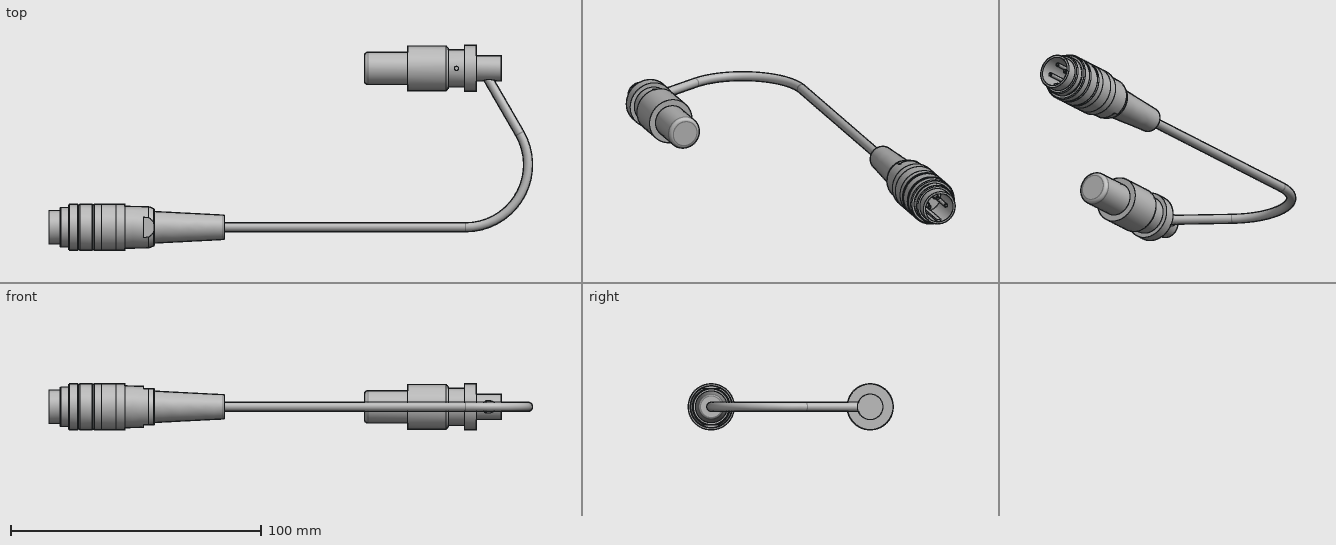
import cadquery as cq
import math

shell_diameter = 13.5
shell_bore_diameter = 11.7
shell_bore_depth = 15.0
collar_front = 4.4
collar_diameter = 15.9
collar_face_diameter = 15.08
core_diameter = 15.08
plug_diameter = 18.5

pin_diameter = 1.49
pin_recess_diameter = 2.25
pin_recess_depth = 1.0
pin_circle_radius = 3.5
pin_front = 1.8
pin_tip_chamfer = 0.3
pin_angles = [0, 90, 180]
key_width = 1.7
key_top = 5.0
key_front = 0.6
keyway_mouth_width = 2.25
keyway_mouth_depth = 0.5
keyway_inner_width = 1.49
keyway_depth = 2.0
keyway_arc_z = -3.2

ring_front = 7.9
ring_rear = 21.1
ring_chamfer = 0.4
groove_positions = [11.9, 17.65]
groove_width = 1.0
groove_depth = 0.4

back_front = 26.8
back_step = 30.4
back_step_diameter = 16.9
back_taper_end = 39.9
back_taper_diameter = 16.5
back_end = 42.2
back_end_diameter = 15.08
back_end_chamfer = 0.4
flat_spacing = 14.5
flat_start = 37.9
boot_front_diameter = 12.7
boot_end_diameter = 9.8
boot_end = 70.2
boot_edge_radius = 0.6

cable_diameter = 3.7
bend_start = 166.42
bend_radius = 25.0
bend_angle = math.radians(120)
last_run_length = 30.0

tip_front = 126.0
tip_diameter = 13.0
tip_radius = 1.5
sleeve_front = 143.3
sleeve_diameter = 18.0
sleeve_end = 159.6
sleeve_chamfer = 1.0
neck_diameter = 15.0
flange_front = 166.0
flange_end = 170.8
flange_diameter = 18.5
stub_end = 180.8
stub_diameter = 10.2
entry_diameter = 5.0
screw_hole_diameter = 1.7
screw_hole_x = 162.8
screw_hole_depth = 3.0


def bend_point(angle):
    """Point on the cable's centre line after it has turned through the angle."""
    x = bend_start + bend_radius * math.sin(angle)
    y = bend_radius * (1 - math.cos(angle))
    return cq.Vector(x, y, 0)


last_run_direction = cq.Vector(math.cos(bend_angle), math.sin(bend_angle), 0)
bend_middle = bend_point(bend_angle / 2)
bend_end = bend_point(bend_angle)
cable_end = bend_end + last_run_direction * last_run_length
sensor_y = cable_end.y


def turned(outline):
    """Solid of revolution about the X axis from a closed (x, radius) outline."""
    return cq.Workplane("XY").polyline(outline).close().revolve(360, (0, 0, 0), (1, 0, 0))


def rod(diameter, start, end, y=0.0, z=0.0):
    """Round bar parallel to X."""
    return cq.Workplane("YZ", origin=(start, y, z)).circle(diameter / 2).extrude(end - start)


def make_key_rib():
    """Rib with a flat top along the bottom of the shell bore."""
    length = shell_bore_depth - key_front
    height = shell_diameter / 2 - key_top
    block = (
        cq.Workplane("XY")
        .box(length, key_width, height, centered=(False, True, False))
        .translate((key_front, 0, -shell_diameter / 2))
    )
    return block.intersect(rod(shell_diameter, 0, shell_bore_depth))


def make_keyway_step(width, depth):
    """Round-topped slot in the floor of the bore, from the key rib upwards."""
    half = width / 2
    outline = (
        cq.Workplane("YZ", origin=(shell_bore_depth, 0, 0))
        .moveTo(-half, -key_top)
        .lineTo(-half, keyway_arc_z)
        .threePointArc((0, keyway_arc_z + half), (half, keyway_arc_z))
        .lineTo(half, -key_top)
        .close()
    )
    return outline.extrude(depth)


def make_shell():
    collar_chamfer = (collar_diameter - collar_face_diameter) / 2
    shell = turned([
        (0, 0),
        (0, shell_diameter / 2),
        (collar_front, shell_diameter / 2),
        (collar_front, collar_face_diameter / 2),
        (collar_front + collar_chamfer, collar_diameter / 2),
        (ring_front, collar_diameter / 2),
        (ring_front, core_diameter / 2),
        (ring_rear, core_diameter / 2),
        (ring_rear, plug_diameter / 2),
        (back_front, plug_diameter / 2),
        (back_front, 0),
    ])
    shell = shell.cut(rod(shell_bore_diameter, 0, shell_bore_depth))
    shell = shell.union(make_key_rib())
    shell = shell.cut(make_keyway_step(keyway_mouth_width, keyway_mouth_depth))
    shell = shell.cut(make_keyway_step(keyway_inner_width, keyway_depth))
    recess_floor = shell_bore_depth + pin_recess_depth
    for angle in pin_angles:
        y = pin_circle_radius * math.cos(math.radians(angle))
        z = pin_circle_radius * math.sin(math.radians(angle))
        pin = rod(pin_diameter, pin_front, recess_floor, y, z).faces("<X").chamfer(pin_tip_chamfer)
        shell = shell.cut(rod(pin_recess_diameter, shell_bore_depth, recess_floor, y, z)).union(pin)
    return shell


def make_ring():
    outer = plug_diameter / 2
    inner = core_diameter / 2
    outline = [(ring_front, inner), (ring_front, outer - ring_chamfer), (ring_front + ring_chamfer, outer)]
    for x in groove_positions:
        outline += [(x - groove_width / 2, outer), (x, outer - groove_depth), (x + groove_width / 2, outer)]
    outline += [(ring_rear, outer), (ring_rear, inner)]
    return turned(outline)


def make_back_shell():
    back = turned([
        (back_front, 0),
        (back_front, plug_diameter / 2),
        (back_step, plug_diameter / 2),
        (back_step, back_step_diameter / 2),
        (back_taper_end, back_taper_diameter / 2),
        (back_end - back_end_chamfer, back_end_diameter / 2),
        (back_end, back_end_diameter / 2 - back_end_chamfer),
        (back_end, boot_front_diameter / 2),
        (boot_end, boot_end_diameter / 2),
        (boot_end, 0),
    ])
    back = back.faces(">X").edges().fillet(boot_edge_radius)
    flat_length = back_end - flat_start
    flat_depth = (plug_diameter - flat_spacing) / 2
    for side in (1, -1):
        z = side * (flat_spacing + flat_depth) / 2
        flat_centre = (flat_start + flat_length / 2, 0, z)
        back = back.cut(cq.Workplane("XY").box(flat_length, plug_diameter, flat_depth).translate(flat_centre))
    return back.cut(rod(cable_diameter, back_front, boot_end))


def make_cable():
    path = (
        cq.Workplane("XY")
        .moveTo(back_front, 0)
        .lineTo(bend_start, 0)
        .threePointArc((bend_middle.x, bend_middle.y), (bend_end.x, bend_end.y))
        .lineTo(cable_end.x, cable_end.y)
    )
    return cq.Workplane("YZ", origin=(back_front, 0, 0)).circle(cable_diameter / 2).sweep(path)


def make_sensor():
    sensor = turned([
        (tip_front, 0),
        (tip_front, tip_diameter / 2),
        (sleeve_front, tip_diameter / 2),
        (sleeve_front, sleeve_diameter / 2),
        (sleeve_end - sleeve_chamfer, sleeve_diameter / 2),
        (sleeve_end, sleeve_diameter / 2 - sleeve_chamfer),
        (sleeve_end, neck_diameter / 2),
        (flange_front, neck_diameter / 2),
        (flange_front, flange_diameter / 2),
        (flange_end, flange_diameter / 2),
        (flange_end, stub_diameter / 2),
        (stub_end, stub_diameter / 2),
        (stub_end, 0),
    ])
    sensor = sensor.faces("<X").edges().fillet(tip_radius).translate((0, sensor_y, 0))
    entry_hole = cq.Solid.makeCylinder(entry_diameter / 2, stub_diameter, cable_end, last_run_direction * -1)
    screw_hole = (
        cq.Workplane("XY", origin=(screw_hole_x, sensor_y, neck_diameter / 2 - screw_hole_depth))
        .circle(screw_hole_diameter / 2)
        .extrude(screw_hole_depth)
    )
    return sensor.cut(cq.Workplane(entry_hole)).cut(screw_hole)


shell = make_shell()
ring = make_ring()
back_shell = make_back_shell()
cable = make_cable()
sensor = make_sensor()

result = cq.Compound.makeCompound([shell.val(), ring.val(), back_shell.val(), cable.val(), sensor.val()])